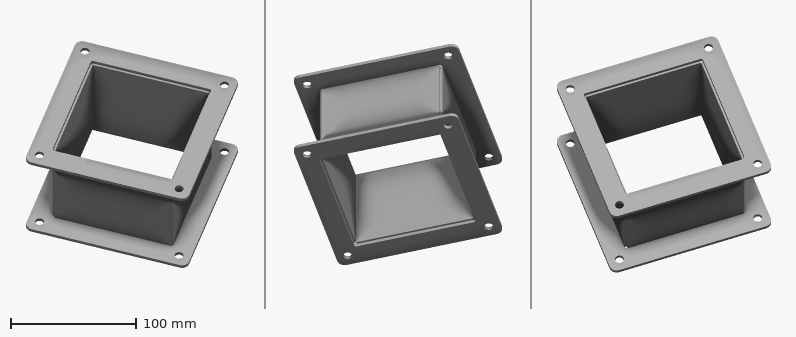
import cadquery as cq

flange_side = 136.5
total_height = 82.6
flange_thickness = 3.0
flange_corner_radius = 6.0
hole_diameter = 7.1
hole_spacing = 117.1
window_side = 101.2
window_corner_radius = 2.0

duct_side = 101.7
sheet_thickness = 1.9
bend_outer_radius = 2.5

duct_height = total_height - 2 * flange_thickness
half_duct = duct_side / 2
half_inside = half_duct - sheet_thickness
bend_inner_radius = bend_outer_radius - sheet_thickness
bend_start = half_duct - bend_outer_radius


def rounded_square(side, corner_radius, bottom_z):
    """Flange-thick square block with rounded vertical edges."""
    return (
        cq.Workplane("XY")
        .workplane(offset=bottom_z)
        .rect(side, side)
        .extrude(flange_thickness)
        .edges("|Z")
        .fillet(corner_radius)
    )


def make_flange(bottom_z):
    """Rounded square plate with a duct window and four bolt holes."""
    plate = rounded_square(flange_side, flange_corner_radius, bottom_z)
    window = rounded_square(window_side, window_corner_radius, bottom_z)
    bolt_holes = (
        cq.Workplane("XY")
        .workplane(offset=bottom_z)
        .rect(hole_spacing, hole_spacing, forConstruction=True)
        .vertices()
        .circle(hole_diameter / 2)
        .extrude(flange_thickness)
    )
    return plate.cut(window).cut(bolt_holes)


def make_duct_sheet(angle):
    """L-shaped sheet: -X and +Y walls joined by one bend, then turned about Z.

    Each wall stops at the inner face of the neighbouring sheet, so the two
    sheets meet along an edge and leave a square open corner.
    """
    sheet = (
        cq.Workplane("XY")
        .workplane(offset=flange_thickness)
        .moveTo(-half_duct, -half_inside)
        .lineTo(-half_duct, bend_start)
        .radiusArc((-bend_start, half_duct), bend_outer_radius)
        .lineTo(half_inside, half_duct)
        .lineTo(half_inside, half_inside)
        .lineTo(-bend_start, half_inside)
        .radiusArc((-half_inside, bend_start), -bend_inner_radius)
        .lineTo(-half_inside, -half_inside)
        .close()
        .extrude(duct_height)
    )
    return sheet.rotate((0, 0, 0), (0, 0, 1), angle)


flanges = [make_flange(bottom_z) for bottom_z in (0, total_height - flange_thickness)]
duct_sheets = [make_duct_sheet(angle) for angle in (0, 180)]

result = cq.Compound.makeCompound(
    [solid for body in flanges + duct_sheets for solid in body.solids().vals()]
)